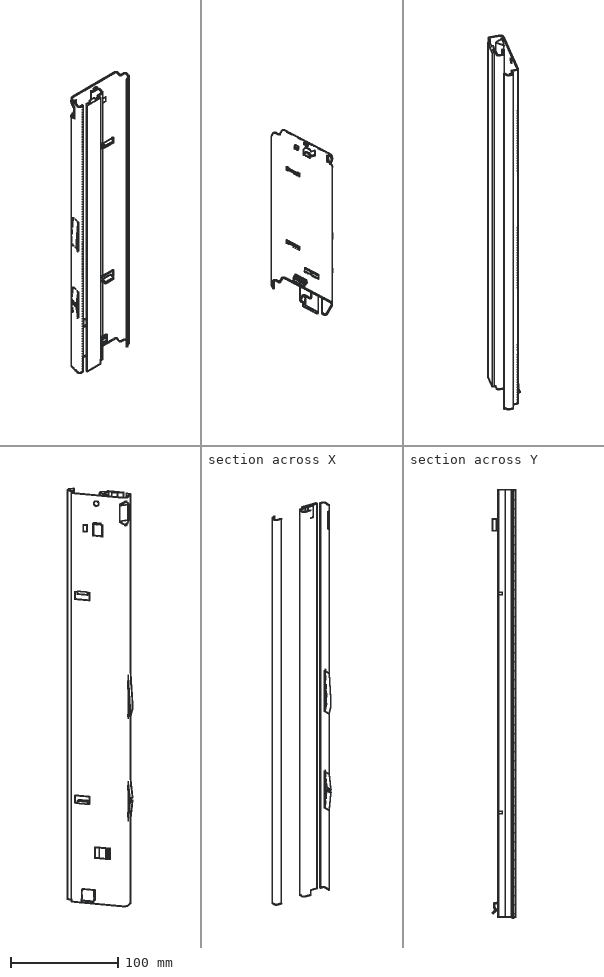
import cadquery as cq
import math

LENGTH = 400.0
SHEET = 1.0
HALF_SHEET = SHEET / 2
FRONT_X = -11.0
REAR_X = 11.0
BOTTOM_Y = -31.0
TOP_Y = 31.0
TIP_DROP = 1.0

WALL_X = -5.5
HOOK_X = 0.5
STEP_Y = 25.0
HOOK_TOP_Y = TOP_Y - HALF_SHEET
HOOK_SHOULDER = (6.0, HOOK_TOP_Y)
HOOK_TIP = (8.5, 27.0)
FLANGE_Y = -29.0
LIP_X = 8.5
LIP_END = (8.0, -24.5)
TIGHT_BEND = 0.6
STEP_BEND = 1.5
LIP_BEND = 2.0
HOOK_BEND = 1.5
WALL_BEND = 3.0

WINDOW_Y = (7.0, 21.0)
WINDOW_HEIGHT = 7.0
UPPER_WINDOW_TOP = 304.0
LOWER_WINDOW_TOP = 105.0
TAB_Y = (9.0, 19.0)
TAB_REACH = 4.0
TAB_THICKNESS = 2.0
SIGHT_WINDOW_Y = (-13.0, 1.5)
SIGHT_WINDOW_Z = (46.0, 56.5)

SPRING_OUT = FRONT_X - WALL_X + SHEET / 4
SPRING_BULGE = 3.5
SPRING_NECK = 2.0
SPRING_LENGTH = 9.5
SPRING_BACK_AT = 0.45 * SPRING_LENGTH
SPRING_NECK_AT = 0.7 * SPRING_LENGTH
SIDE_HOOK_ROOT_Y = 3.0
SIDE_HOOK_Z = (361.5, 373.0)
DOWN_HOOK_ROOT_Z = 14.5
DOWN_HOOK_Y = (1.5, 13.5)
BUMP_Y = (9.0, 13.0)
BUMP_Z = (364.0, 370.5)
BUMP_HEIGHT = 1.5

DIMPLE_Y = 0.5
DIMPLE_Z = 392.0
DIMPLE_RADIUS = 2.5
DIMPLE_DEPTH = 0.5

TONGUE_X = (-1.0, 7.0)
TONGUE_OUT_Y = BOTTOM_Y + HALF_SHEET
BRIDGE_Z = (184.0, 226.0)
BRIDGE_CREST_Z = (191.0, 196.0)
PAIR_Z = (84.0, 121.5)
PAIR_GAP_Z = (101.5, 104.5)

DENT_Z = (374.0, 395.5)
DENT_FLOOR_Z = (377.0, 392.0)
DENT_DEPTH = 5.0
DENT_START = 1.4
DENT_HALF_SPAN = 12.0

INNER_TOP_Y = -HALF_SHEET
INNER_RIGHT_X = 7.0
INNER_FOOT = (-1.0, -8.0)
INNER_JOIN_Y = -6.5
PLATE_X = 9.0
PLATE_Y = (-21.0, -5.5)
PAD_X = 7.0
PAD_Y = (-16.0, -10.5)
PAD_LENGTH = 12.0


def box(x_range, y_range, z_range):
    """Box between two limits along each axis."""
    sizes = [max(limits) - min(limits) for limits in (x_range, y_range, z_range)]
    corner = (min(x_range), min(y_range), min(z_range))
    return cq.Workplane("XY").box(*sizes, centered=False).translate(corner)


def unit(start, end):
    """Unit direction from one point to another."""
    run = math.dist(start, end)
    return (end[0] - start[0]) / run, (end[1] - start[1]) / run


def bend_arc(before, corner, after, radius, offset):
    """Start, middle and end of a bend, moved to the left of the centreline by offset."""
    ux, uy = unit(before, corner)
    vx, vy = unit(corner, after)
    turn = math.atan2(ux * vy - uy * vx, ux * vx + uy * vy)
    side = math.copysign(1, turn)
    setback = radius * math.tan(abs(turn) / 2)
    cx = corner[0] - ux * setback - side * uy * radius
    cy = corner[1] - uy * setback + side * ux * radius
    mx, my = unit((cx, cy), corner)
    arc_radius = radius - side * offset
    start = (cx + side * uy * arc_radius, cy - side * ux * arc_radius)
    middle = (cx + mx * arc_radius, cy + my * arc_radius)
    end = (cx + side * vy * arc_radius, cy - side * vx * arc_radius)
    return start, middle, end


def bent_sheet(points, radii, plane, extrusion):
    """Sheet of constant thickness along a centreline; radii holds one bend per inner point."""
    ux, uy = unit(points[0], points[1])
    vx, vy = unit(points[-2], points[-1])
    first = points[0]
    last = points[-1]
    corners = list(zip(points, points[1:], points[2:], radii))
    outline = cq.Workplane(plane).moveTo(first[0] - uy * HALF_SHEET, first[1] + ux * HALF_SHEET)
    for before, corner, after, radius in corners:
        start, middle, end = bend_arc(before, corner, after, radius, HALF_SHEET)
        outline = outline.lineTo(*start).threePointArc(middle, end)
    outline = outline.lineTo(last[0] - vy * HALF_SHEET, last[1] + vx * HALF_SHEET)
    outline = outline.lineTo(last[0] + vy * HALF_SHEET, last[1] - vx * HALF_SHEET)
    for before, corner, after, radius in reversed(corners):
        start, middle, end = bend_arc(before, corner, after, radius, -HALF_SHEET)
        outline = outline.lineTo(*end).threePointArc(middle, start)
    outline = outline.lineTo(first[0] + uy * HALF_SHEET, first[1] - ux * HALF_SHEET)
    return outline.close().extrude(extrusion)


def wall_cutter(y_range, z_range):
    """Box that passes through the wall only."""
    return box((WALL_X - SHEET, WALL_X + SHEET), y_range, z_range)


def rail_profile():
    """Hook, step, wall, flange and lip, with the hook tip running on past the lower end."""
    path = [
        HOOK_TIP,
        HOOK_SHOULDER,
        (HOOK_X, HOOK_TOP_Y),
        (HOOK_X, STEP_Y),
        (WALL_X, STEP_Y),
        (WALL_X, FLANGE_Y),
        (LIP_X, FLANGE_Y),
        LIP_END,
    ]
    bends = [HOOK_BEND, HOOK_BEND, TIGHT_BEND, STEP_BEND, WALL_BEND, LIP_BEND]
    profile = bent_sheet(path, bends, "XY", LENGTH - TIP_DROP).translate((0, 0, TIP_DROP))
    dx, dy = unit(HOOK_TIP, HOOK_SHOULDER)
    tip_end = (HOOK_TIP[0] + dx * SHEET, HOOK_TIP[1] + dy * SHEET)
    return profile.union(bent_sheet([HOOK_TIP, tip_end], [], "XY", 2 * TIP_DROP))


def add_window(rail, window_top, tab_at_top):
    """Window in the wall with a tab bent inward along its upper or lower edge."""
    window_bottom = window_top - WINDOW_HEIGHT
    rail = rail.cut(wall_cutter(WINDOW_Y, (window_bottom, window_top)))
    if tab_at_top:
        tab_z = (window_top - TAB_THICKNESS, window_top + HALF_SHEET)
    else:
        tab_z = (window_bottom - HALF_SHEET, window_bottom + TAB_THICKNESS)
    wall_front = WALL_X - HALF_SHEET
    return rail.union(box((wall_front, WALL_X + TAB_REACH), TAB_Y, tab_z))


def spring_hook(width):
    """S-shaped hook that starts at the wall, runs along -Z and is extruded along +Y."""
    path = [
        (0, 0),
        (-SPRING_BULGE, -HALF_SHEET),
        (-SPRING_BULGE, -SPRING_BACK_AT),
        (-SPRING_NECK, -SPRING_NECK_AT),
        (SPRING_OUT, -SPRING_LENGTH),
    ]
    return bent_sheet(path, [TIGHT_BEND] * (len(path) - 2), "XZ", -width)


def add_spring_hooks(rail):
    """One hook that runs sideways near the top and one that runs down near the bottom."""
    side_width = SIDE_HOOK_Z[1] - SIDE_HOOK_Z[0]
    side_hook = spring_hook(side_width).rotate((0, 0, 0), (1, 0, 0), -90)
    side_hook = side_hook.translate((WALL_X, SIDE_HOOK_ROOT_Y, SIDE_HOOK_Z[1]))
    side_window_y = (SIDE_HOOK_ROOT_Y - SPRING_NECK_AT, SIDE_HOOK_ROOT_Y)

    down_hook = spring_hook(DOWN_HOOK_Y[1] - DOWN_HOOK_Y[0])
    down_hook = down_hook.translate((WALL_X, DOWN_HOOK_Y[0], DOWN_HOOK_ROOT_Z))
    down_window_z = (DOWN_HOOK_ROOT_Z - SPRING_LENGTH, DOWN_HOOK_ROOT_Z)

    rail = rail.cut(wall_cutter(side_window_y, SIDE_HOOK_Z))
    rail = rail.cut(wall_cutter(DOWN_HOOK_Y, down_window_z))
    return rail.union(side_hook).union(down_hook)


def add_bump_and_dimple(rail):
    """Small raised rectangle and a shallow round dimple on the outer wall face."""
    bump = box((WALL_X - HALF_SHEET - BUMP_HEIGHT, WALL_X), BUMP_Y, BUMP_Z)
    dimple = cq.Workplane("YZ").center(DIMPLE_Y, DIMPLE_Z).circle(DIMPLE_RADIUS).extrude(DIMPLE_DEPTH)
    return rail.union(bump).cut(dimple.translate((WALL_X - HALF_SHEET, 0, 0)))


def flange_tongue(path):
    """Strip of the flange bent out along a path in Y and Z."""
    strip = bent_sheet(path, [TIGHT_BEND] * (len(path) - 2), "YZ", TONGUE_X[1] - TONGUE_X[0])
    return strip.translate((TONGUE_X[0], 0, 0))


def add_tongues(rail):
    """A closed bridge and a facing pair of tongues, all bent outward from the flange."""
    flange = (FLANGE_Y - SHEET, FLANGE_Y + SHEET)
    rail = rail.cut(box(TONGUE_X, flange, BRIDGE_Z)).cut(box(TONGUE_X, flange, PAIR_Z))
    bridge = [
        (FLANGE_Y, BRIDGE_Z[0] - SHEET),
        (FLANGE_Y, BRIDGE_Z[0]),
        (TONGUE_OUT_Y, BRIDGE_CREST_Z[0]),
        (TONGUE_OUT_Y, BRIDGE_CREST_Z[1]),
        (FLANGE_Y, BRIDGE_Z[1]),
        (FLANGE_Y, BRIDGE_Z[1] + SHEET),
    ]
    lower = [(FLANGE_Y, PAIR_Z[0] - SHEET), (FLANGE_Y, PAIR_Z[0]), (TONGUE_OUT_Y, PAIR_GAP_Z[0])]
    upper = [(FLANGE_Y, PAIR_Z[1] + SHEET), (FLANGE_Y, PAIR_Z[1]), (TONGUE_OUT_Y, PAIR_GAP_Z[1])]
    for path in (bridge, lower, upper):
        rail = rail.union(flange_tongue(path))
    return rail


def dent_wedge(grow):
    """Trapezoid that points into the corner diagonally, enlarged by grow at depth and ends."""
    corner = (WALL_X - HALF_SHEET, FLANGE_Y - HALF_SHEET, 0)
    diagonal = cq.Plane(origin=corner, xDir=(1, 1, 0), normal=(1, -1, 0))
    depth = DENT_DEPTH + grow
    trapezoid = [
        (DENT_START, DENT_Z[0] - grow),
        (depth, DENT_FLOOR_Z[0] - grow),
        (depth, DENT_FLOOR_Z[1] + grow),
        (DENT_START, DENT_Z[1] + grow),
    ]
    return cq.Workplane(diagonal).polyline(trapezoid).close().extrude(DENT_HALF_SPAN, both=True)


def add_dent(rail):
    """Dent pressed into the corner, backed by sheet of the same thickness."""
    inside = box((WALL_X, LIP_X), (FLANGE_Y, STEP_Y), (0, LENGTH))
    return rail.union(dent_wedge(SHEET).intersect(inside)).cut(dent_wedge(0))


def make_wall_rail():
    rail = rail_profile()
    rail = add_window(rail, UPPER_WINDOW_TOP, True)
    rail = add_window(rail, LOWER_WINDOW_TOP, False)
    rail = rail.cut(wall_cutter(SIGHT_WINDOW_Y, SIGHT_WINDOW_Z))
    rail = add_spring_hooks(rail)
    rail = add_bump_and_dimple(rail)
    rail = add_tongues(rail)
    return add_dent(rail)


def make_inner_rail():
    """Channel with a short foot and an edge that stands against the rear plate."""
    path = [
        INNER_FOOT,
        (HOOK_X, INNER_FOOT[1]),
        (HOOK_X, INNER_TOP_Y),
        (INNER_RIGHT_X, INNER_TOP_Y),
        (INNER_RIGHT_X, INNER_JOIN_Y),
        (PLATE_X, INNER_JOIN_Y),
    ]
    bends = [TIGHT_BEND, HOOK_BEND, HOOK_BEND, TIGHT_BEND]
    return bent_sheet(path, bends, "XY", LENGTH - TIP_DROP).translate((0, 0, TIP_DROP))


def make_rear_plate():
    """Flat plate along the inner rail, with a pad on its inner face at the top."""
    plate = box((PLATE_X, REAR_X), PLATE_Y, (TIP_DROP, LENGTH))
    return plate.union(box((PAD_X, PLATE_X), PAD_Y, (LENGTH - PAD_LENGTH, LENGTH)))


wall_rail = make_wall_rail()
inner_rail = make_inner_rail()
rear_plate = make_rear_plate()

result = cq.Compound.makeCompound([wall_rail.val(), inner_rail.val(), rear_plate.val()])